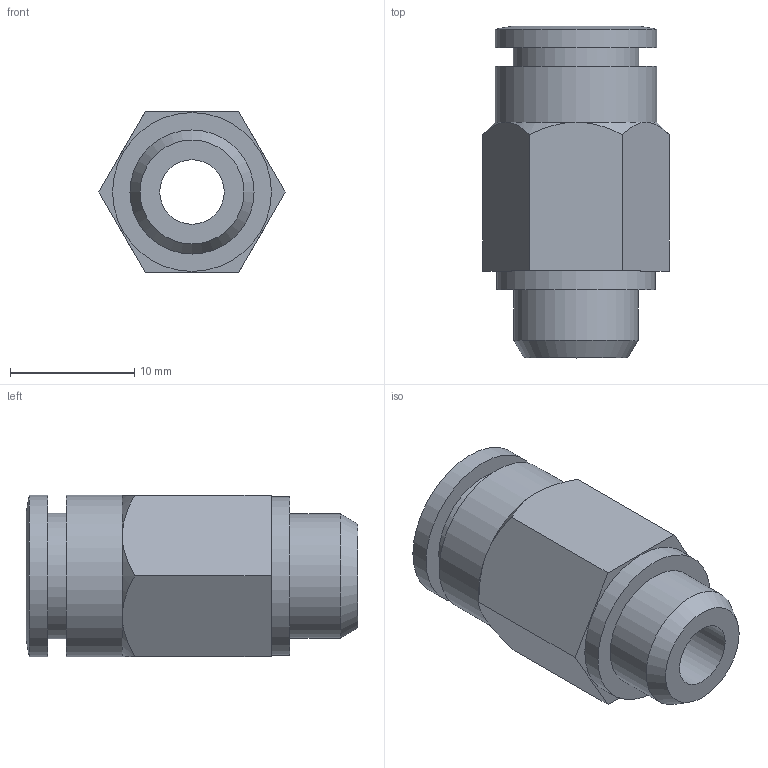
import cadquery as cq
import math

stud_end = 5.5
flange_end = 7.0
hex_end = 19.0
sleeve_end = 23.5
neck_end = 25.0
total_length = 26.75

bore_radius = 2.6
stud_radius = 5.0
flange_radius = 6.4
sleeve_radius = 6.5
neck_radius = 5.05

hex_across_flats = 13.0
hex_corner_radius = hex_across_flats / 2 / math.cos(math.radians(30))

tip_taper_length = 1.4
tip_taper_angle = 30
tip_radius = stud_radius - tip_taper_length * math.tan(math.radians(tip_taper_angle))
collar_chamfer_length = 0.25
collar_chamfer_depth = 1.4
hex_chamfer_angle = 45


def revolve_profile(points):
    """Turn a closed (radius, Y) outline about the Y axis."""
    outline = cq.Workplane("XY").polyline(points).close()
    return outline.revolve(360, (0, 0, 0), (0, 1, 0))


def turned_body():
    """Stud, flange, sleeve, neck and release collar."""
    return revolve_profile([
        (0, 0),
        (tip_radius, 0),
        (stud_radius, tip_taper_length),
        (stud_radius, stud_end),
        (flange_radius, stud_end),
        (flange_radius, flange_end),
        (sleeve_radius, flange_end),
        (sleeve_radius, sleeve_end),
        (neck_radius, sleeve_end),
        (neck_radius, neck_end),
        (sleeve_radius, neck_end),
        (sleeve_radius, total_length - collar_chamfer_length),
        (sleeve_radius - collar_chamfer_depth, total_length),
        (0, total_length),
    ])


def hexagon():
    """Hexagonal nut section with its corners chamfered at the sleeve end."""
    prism = (
        cq.Workplane("XZ", origin=(0, flange_end, 0))
        .polygon(6, 2 * hex_corner_radius)
        .extrude(flange_end - hex_end)
    )
    corner_depth = hex_corner_radius - sleeve_radius
    chamfer_start = hex_end - corner_depth / math.tan(math.radians(hex_chamfer_angle))
    envelope = revolve_profile([
        (0, flange_end),
        (hex_corner_radius, flange_end),
        (hex_corner_radius, chamfer_start),
        (sleeve_radius, hex_end),
        (0, hex_end),
    ])
    return prism.intersect(envelope)


def bore():
    """Plain bore through the whole length."""
    return cq.Workplane("XZ").circle(bore_radius).extrude(-total_length)


result = turned_body().union(hexagon()).cut(bore())